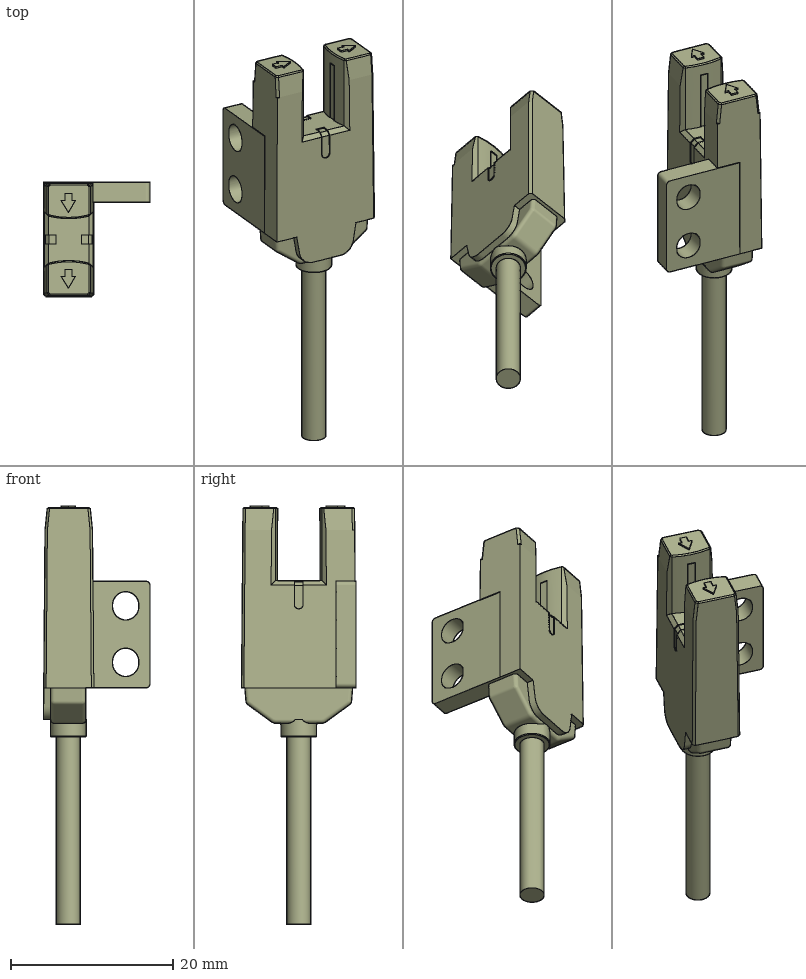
import cadquery as cq

OVERALL_WIDTH = 13.15
TOTAL_HEIGHT = 51.6

STEP_Z = 19.45
TOP_Z = 22.25
BASE_HALF_X, STEP_HALF_X, TOP_HALF_X = 6.2 / 2, 5.9 / 2, 5.3 / 2
BASE_HALF_Y, TOP_HALF_Y = 14.15 / 2, 13.8 / 2
STEP_HALF_Y = BASE_HALF_Y + (TOP_HALF_Y - BASE_HALF_Y) * STEP_Z / TOP_Z
BODY_CENTER_X = 0.05
CORNER_CHAMFER = 0.3
TOP_CHAMFER = 0.15

GAP_HALF = 2.6
GAP_BULGE = 0.3
GAP_EDGE_X = 2.5
GAP_FLOOR_Z = 13.2
GAP_EDGE_HALF = GAP_HALF + GAP_BULGE
GAP_BEVEL_REACH = 1.05
CLEARANCE = 2.6

WINDOW_WIDTH = 1.0
WINDOW_DEPTH = 0.1
WINDOW_TOP_Z = 20.65

MARK_WIDTH = 1.1
MARK_DEPTH = 0.13
MARK_END_RADIUS = 0.5
MARK_END_Z = 9.75
MARK_INNER_X = 1.55

ARROW_HEIGHT = 0.2
ARROW_LENGTH = 2.3
ARROW_TAIL_LENGTH = 0.9
ARROW_TAIL_WIDTH = 0.9
ARROW_HEAD_WIDTH = 1.75
ARROW_PITCH = 9.35
ARROW_TAIL_Y = 5.7

PLATE_HEIGHT = 13.15
PLATE_THICKNESS = 2.5
PLATE_CORNER_RADIUS = 0.5
HOLE_WIDTH = 3.2
HOLE_HEIGHT = 3.45
HOLE_X = 7.05
HOLE_PITCH = 6.95
LOWER_HOLE_Z = 3.15

HOUSING_HALF_X = 2.15
HOUSING_HALF_Y = 6.65
HOUSING_KNEE_Y, HOUSING_KNEE_Z = 6.5, -1.9
HOUSING_BOTTOM_HALF_Y, HOUSING_BOTTOM_Z = 3.1, -4.4
HOUSING_KNEE_RADIUS = 0.5
HOUSING_BOTTOM_RADIUS = 1.05
HOUSING_EDGE_RADIUS = 0.45
PAD_TOP_HALF_Y = 4.25
PAD_BOTTOM_HALF_Y = 3.55
PAD_BOTTOM_Z = -3.9
PAD_CORNER_RADIUS = 1.85
COLLAR_DIAMETER = 4.45
COLLAR_BOTTOM_Z = -6.05
COLLAR_CHAMFER = 0.1
CABLE_DIAMETER = 3.0
CABLE_BOTTOM_Z = TOP_Z + ARROW_HEIGHT - TOTAL_HEIGHT


def side_face_x(z):
    """Distance of either side face of the lower body stage from the body's center plane."""
    return BASE_HALF_X + (STEP_HALF_X - BASE_HALF_X) * z / STEP_Z


PAD_BOTTOM_HALF_X = side_face_x(PAD_BOTTOM_Z)
PLATE_END_X = BODY_CENTER_X - PAD_BOTTOM_HALF_X + OVERALL_WIDTH


def section(half_x, half_y, back_chamfer):
    """Rectangle with chamfered -Y corners and, if asked, chamfered +Y corners."""
    c = CORNER_CHAMFER
    front = [(-half_x, c - half_y), (c - half_x, -half_y), (half_x - c, -half_y), (half_x, c - half_y)]
    if back_chamfer:
        back = [(half_x, half_y - c), (half_x - c, half_y), (c - half_x, half_y), (-half_x, half_y - c)]
    else:
        back = [(half_x, half_y), (-half_x, half_y)]
    return front + back


def drafted_block(bottom, top, bottom_z, height):
    """Straight-sided block between two horizontal outlines."""
    bottom_wire = cq.Workplane("XY").workplane(offset=bottom_z).polyline(bottom).close()
    return bottom_wire.workplane(offset=height).polyline(top).close().loft(ruled=True, combine=True)


def gap_cutter():
    """Gap with inward-bulging side walls and bevels that open toward both side faces."""
    outer_x = GAP_EDGE_X + GAP_BEVEL_REACH
    height = TOP_Z - GAP_FLOOR_Z + CLEARANCE
    cutter = (
        cq.Workplane("XY").workplane(offset=GAP_FLOOR_Z)
        .moveTo(-GAP_EDGE_X, -GAP_EDGE_HALF)
        .threePointArc((0, -GAP_HALF), (GAP_EDGE_X, -GAP_EDGE_HALF))
        .lineTo(GAP_EDGE_X, GAP_EDGE_HALF)
        .threePointArc((0, GAP_HALF), (-GAP_EDGE_X, GAP_EDGE_HALF))
        .close().extrude(height)
    )
    bevel = (
        cq.Workplane("YZ").workplane(offset=GAP_EDGE_X)
        .center(0, GAP_FLOOR_Z + height / 2).rect(2 * GAP_EDGE_HALF, height)
        .workplane(offset=outer_x - GAP_EDGE_X)
        .rect(2 * (GAP_EDGE_HALF + GAP_BEVEL_REACH), height + 2 * GAP_BEVEL_REACH)
        .loft(ruled=True, combine=True)
    )
    return cutter.union(bevel).union(bevel.mirror("YZ"))


def window_cutter():
    height = WINDOW_TOP_Z - GAP_FLOOR_Z
    return (
        cq.Workplane("XY").workplane(offset=GAP_FLOOR_Z)
        .rect(WINDOW_WIDTH, 2 * (GAP_HALF + WINDOW_DEPTH)).extrude(height)
    )


def mark_cutter():
    """Round-ended groove of even depth along the +X face, the bevel and the gap floor."""
    floor_z = GAP_FLOOR_Z - MARK_DEPTH
    outer_x = BASE_HALF_X + CLEARANCE
    bevel_inner_x = GAP_EDGE_X - MARK_DEPTH / 2
    bevel_outer_x = side_face_x(floor_z) - MARK_DEPTH
    profile = [
        (MARK_INNER_X, floor_z),
        (bevel_inner_x, floor_z),
        (bevel_outer_x, floor_z - (bevel_outer_x - bevel_inner_x)),
        (side_face_x(MARK_END_Z) - MARK_DEPTH, MARK_END_Z),
        (outer_x, MARK_END_Z),
        (outer_x, GAP_FLOOR_Z),
        (MARK_INNER_X, GAP_FLOOR_Z),
    ]
    groove = cq.Workplane("XZ").polyline(profile).close().extrude(MARK_WIDTH / 2, both=True)
    height = GAP_FLOOR_Z - MARK_END_Z
    rounded_end = (
        cq.Workplane("YZ").center(0, MARK_END_Z + height / 2).rect(MARK_WIDTH, height)
        .extrude(outer_x).edges("<Z and |X").fillet(MARK_END_RADIUS)
    )
    return groove.intersect(rounded_end)


def pad():
    """Tongue below the body that continues the drafted -X face."""
    outline = [
        (-PAD_TOP_HALF_Y, 0),
        (-PAD_BOTTOM_HALF_Y, PAD_BOTTOM_Z),
        (PAD_BOTTOM_HALF_Y, PAD_BOTTOM_Z),
        (PAD_TOP_HALF_Y, 0),
    ]
    tongue = (
        cq.Workplane("YZ").polyline(outline).close().extrude(-PAD_BOTTOM_HALF_X)
        .edges("<Z and |X").fillet(PAD_CORNER_RADIUS)
    )
    drafted_profile = [(0, 0), (-BASE_HALF_X, 0), (-PAD_BOTTOM_HALF_X, PAD_BOTTOM_Z), (0, PAD_BOTTOM_Z)]
    draft = cq.Workplane("XZ").polyline(drafted_profile).close().extrude(PAD_TOP_HALF_Y, both=True)
    return tongue.intersect(draft)


def fork_body():
    step_section = section(STEP_HALF_X, STEP_HALF_Y, False)
    lower = drafted_block(section(BASE_HALF_X, BASE_HALF_Y, False), step_section, 0, STEP_Z)
    upper = drafted_block(
        section(STEP_HALF_X, STEP_HALF_Y, True),
        section(TOP_HALF_X, TOP_HALF_Y, True),
        STEP_Z,
        TOP_Z - STEP_Z,
    )
    body = lower.union(upper).cut(gap_cutter())
    body = body.faces(">Z").chamfer(TOP_CHAMFER)
    mark = mark_cutter()
    body = body.cut(window_cutter()).cut(mark).cut(mark.mirror("YZ"))
    return body.union(pad()).translate((BODY_CENTER_X, 0, 0))


def arrow(tail_y):
    shoulder_y = tail_y - ARROW_TAIL_LENGTH
    outline = [
        (-ARROW_TAIL_WIDTH / 2, tail_y),
        (-ARROW_TAIL_WIDTH / 2, shoulder_y),
        (-ARROW_HEAD_WIDTH / 2, shoulder_y),
        (0, tail_y - ARROW_LENGTH),
        (ARROW_HEAD_WIDTH / 2, shoulder_y),
        (ARROW_TAIL_WIDTH / 2, shoulder_y),
        (ARROW_TAIL_WIDTH / 2, tail_y),
    ]
    return cq.Workplane("XY").workplane(offset=TOP_Z).polyline(outline).close().extrude(ARROW_HEIGHT)


def mounting_plate():
    plate = (
        cq.Workplane("XY").box(PLATE_END_X, PLATE_THICKNESS, PLATE_HEIGHT, centered=False)
        .translate((0, BASE_HALF_Y - PLATE_THICKNESS, 0))
        .edges(">X and |Y").fillet(PLATE_CORNER_RADIUS)
    )
    holes = (
        cq.Workplane("XZ")
        .pushPoints([(HOLE_X, LOWER_HOLE_Z), (HOLE_X, LOWER_HOLE_Z + HOLE_PITCH)])
        .slot2D(HOLE_HEIGHT, HOLE_WIDTH, 90).extrude(-2 * BASE_HALF_Y)
    )
    return plate.cut(holes)


def lower_housing():
    outline = [
        (-HOUSING_HALF_Y, 0),
        (-HOUSING_KNEE_Y, HOUSING_KNEE_Z),
        (-HOUSING_BOTTOM_HALF_Y, HOUSING_BOTTOM_Z),
        (HOUSING_BOTTOM_HALF_Y, HOUSING_BOTTOM_Z),
        (HOUSING_KNEE_Y, HOUSING_KNEE_Z),
        (HOUSING_HALF_Y, 0),
    ]
    housing = (
        cq.Workplane("YZ").polyline(outline).close().extrude(HOUSING_HALF_X, both=True)
        .edges("<Z and |X").fillet(HOUSING_BOTTOM_RADIUS)
    )
    knees = cq.selectors.BoxSelector(
        (-HOUSING_HALF_X, -HOUSING_HALF_Y, HOUSING_KNEE_Z - HOUSING_KNEE_RADIUS),
        (HOUSING_HALF_X, HOUSING_HALF_Y, HOUSING_KNEE_Z + HOUSING_KNEE_RADIUS),
    )
    housing = housing.edges("|X").edges(knees).fillet(HOUSING_KNEE_RADIUS)
    return housing.faces("<X or >X").edges("not >Z").fillet(HOUSING_EDGE_RADIUS)


def collar_and_cable():
    collar = (
        cq.Workplane("XY").workplane(offset=COLLAR_BOTTOM_Z).circle(COLLAR_DIAMETER / 2)
        .extrude(PAD_BOTTOM_Z - COLLAR_BOTTOM_Z).faces("<Z").chamfer(COLLAR_CHAMFER)
    )
    cable = (
        cq.Workplane("XY").workplane(offset=CABLE_BOTTOM_Z).circle(CABLE_DIAMETER / 2)
        .extrude(PAD_BOTTOM_Z - CABLE_BOTTOM_Z)
    )
    return collar.union(cable)


result = fork_body().union(mounting_plate()).union(lower_housing()).union(collar_and_cable())
for tail_y in (ARROW_TAIL_Y, ARROW_TAIL_Y - ARROW_PITCH):
    result = result.union(arrow(tail_y))